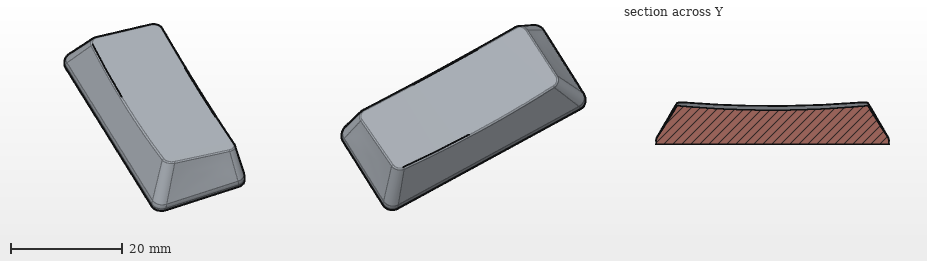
import cadquery as cq
import math

length = 41.95
width = 18.17
corner_radius = 1.95

shoulder_start = 0.65
shoulder_end = 1.4
side_lean = 30.0
front_lean = 29.0
back_lean = 5.0

blank_height = 7.65
blank_length = 33.65
blank_front = -5.05
blank_back = 8.6
blank_corner_radius = 1.65

top_tilt = 7.5
dish_radius = 184.65
dish_mid_height = 6.2
rim_radius = 0.35


def lean_rise(height):
    """Climb along the full lean that gives the inset here: zero on the skirt, a parabola on the shoulder."""
    climb = max(height - shoulder_start, 0)
    return climb ** 2 / (2 * (shoulder_end - shoulder_start))


def wall_section(height):
    """Rounded rectangle that the skirt and shoulder follow at a given height."""
    rise = lean_rise(height)
    half_length = length / 2 - rise * math.tan(math.radians(side_lean))
    front = -width / 2 + rise * math.tan(math.radians(front_lean))
    back = width / 2 - rise * math.tan(math.radians(back_lean))
    return (
        cq.Sketch()
        .rect(2 * half_length, back - front)
        .vertices()
        .fillet(corner_radius)
        .moved(cq.Location(cq.Vector(0, (front + back) / 2, height)))
    )


def blank_section():
    """Rounded rectangle on the tilted plane where the leaning walls end."""
    depth = (blank_back - blank_front) / math.cos(math.radians(top_tilt))
    middle = (blank_front + blank_back) / 2
    height = blank_height - middle * math.tan(math.radians(top_tilt))
    tilted_plane = cq.Location(cq.Vector(0, middle, height), cq.Vector(1, 0, 0), -top_tilt)
    return (
        cq.Sketch()
        .rect(blank_length, depth)
        .vertices()
        .fillet(blank_corner_radius)
        .moved(tilted_plane)
    )


def dish_cutter():
    """Large cylinder along the tilted top, which hollows it across X."""
    tilt = math.radians(top_tilt)
    along_top = cq.Vector(0, math.cos(tilt), -math.sin(tilt))
    away_from_top = cq.Vector(0, math.sin(tilt), math.cos(tilt))
    axis_start = cq.Vector(0, 0, dish_mid_height) + away_from_top * dish_radius - along_top * width
    return cq.Workplane(cq.Solid.makeCylinder(dish_radius, 2 * width, axis_start, along_top))


skirt = cq.Workplane().placeSketch(wall_section(0)).extrude(shoulder_start)

shoulder_middle = (shoulder_start + shoulder_end) / 2
shoulder_heights = [shoulder_start, shoulder_middle, shoulder_end]
shoulder = cq.Workplane().placeSketch(*map(wall_section, shoulder_heights)).loft()

leaning_walls = cq.Workplane().placeSketch(wall_section(shoulder_end), blank_section()).loft(ruled=True)

dished = skirt.union(shoulder).union(leaning_walls).cut(dish_cutter())
dish_face = dished.faces("%CYLINDER").faces(">Z")
result = dish_face.edges().fillet(rim_radius)